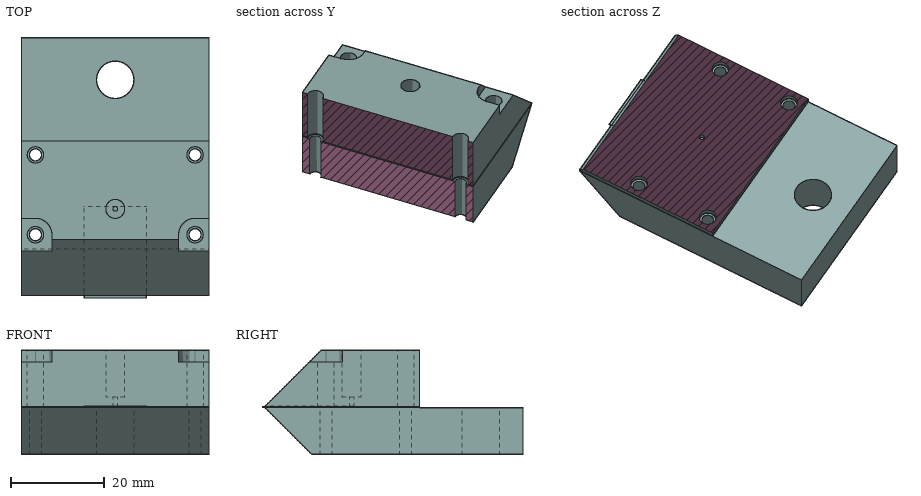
import cadquery as cq


width = 40.0
base_length = 55.0
base_thickness = 10.0
shim_thickness = 0.23
block_length = 33.0
block_height = 12.0

tongue_width = 13.3
tongue_reach = 0.5

slot_height = 0.1

screw_x = 17.0
screw_front_y = 13.0
screw_row_spacing = 17.0
tapped_diameter = 2.53
clearance_diameter = 3.5

relief_radius = 3.5
relief_depth = 2.5

port_y = 18.5
port_diameter = 4.04
port_depth = 10.0
feed_diameter = 1.0

mount_y = 46.0
mount_diameter = 7.9

shim_bottom = base_thickness
block_bottom = shim_bottom + shim_thickness
block_top = block_bottom + block_height

screw_points = [
    (side * screw_x, screw_front_y + row * screw_row_spacing)
    for side in (-1, 1)
    for row in (0, 1)
]


def extrude_profile(points):
    """Extrude a (Y, Z) side profile across the full width, centred on X = 0."""
    return cq.Workplane("YZ").polyline(points).close().extrude(width / 2, both=True)


def vertical_holes(points, diameter, bottom, height):
    """Upright cylinders used to cut holes."""
    return (
        cq.Workplane("XY", origin=(0, 0, bottom))
        .pushPoints(points)
        .circle(diameter / 2)
        .extrude(height)
    )


def make_base():
    """Lower plate with a 45 degree lip, tapped holes and a mounting hole."""
    base = extrude_profile([
        (0, base_thickness),
        (base_length, base_thickness),
        (base_length, 0),
        (base_thickness, 0),
    ])
    base = base.cut(vertical_holes(screw_points, tapped_diameter, 0, base_thickness))
    return base.cut(vertical_holes([(0, mount_y)], mount_diameter, 0, base_thickness))


def make_shim():
    """Thin sheet under the whole block, with a tongue past the lip."""
    sheet_plane = cq.Workplane("XY", origin=(0, 0, shim_bottom))
    sheet = sheet_plane.rect(width, block_length).extrude(shim_thickness)
    sheet = sheet.translate((0, block_length / 2, 0))
    tongue = sheet_plane.rect(tongue_width, 2 * tongue_reach).extrude(shim_thickness)
    shim = sheet.union(tongue)
    return shim.cut(vertical_holes(screw_points, clearance_diameter, shim_bottom, shim_thickness))


def make_corner_relief(side):
    """Cutter for one front corner, rounded about the screw axis."""
    inner_x = side * (screw_x - relief_radius)
    outer_x = side * width / 2
    back_y = screw_front_y + relief_radius
    arc_offset = relief_radius * 0.5 ** 0.5
    return (
        cq.Workplane("XY", origin=(0, 0, block_top - relief_depth))
        .moveTo(outer_x, 0)
        .lineTo(outer_x, back_y)
        .lineTo(side * screw_x, back_y)
        .threePointArc(
            (side * (screw_x - arc_offset), screw_front_y + arc_offset),
            (inner_x, screw_front_y),
        )
        .lineTo(inner_x, 0)
        .close()
        .extrude(relief_depth)
    )


def make_outlet_slot():
    """Cutter for the channel above the tongue as far as the back of the feed hole."""
    slot_length = port_y + feed_diameter / 2
    return (
        cq.Workplane("XY", origin=(0, slot_length / 2, block_bottom))
        .rect(tongue_width, slot_length)
        .extrude(slot_height)
    )


def make_block():
    """Upper block with a 45 degree lip, screw holes, corner reliefs and a feed port."""
    block = extrude_profile([
        (0, block_bottom),
        (block_length, block_bottom),
        (block_length, block_top),
        (block_height, block_top),
    ])
    for side in (-1, 1):
        block = block.cut(make_corner_relief(side))
    block = block.cut(vertical_holes(screw_points, clearance_diameter, block_bottom, block_height))
    port = vertical_holes([(0, port_y)], port_diameter, block_top - port_depth, port_depth)
    feed = vertical_holes([(0, port_y)], feed_diameter, block_bottom, block_height)
    return block.cut(port).cut(feed).cut(make_outlet_slot())


base = make_base()
shim = make_shim()
block = make_block()

result = cq.Compound.makeCompound([base.val(), shim.val(), block.val()])